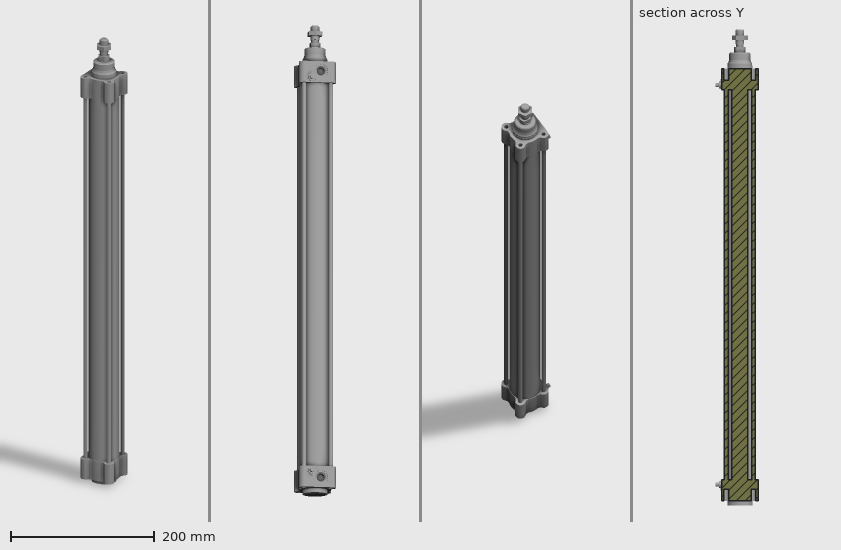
import cadquery as cq
import math


total_height = 663.0
tail_collar_height = 6.0
cap_height = 30.0
tail_cap_top = tail_collar_height + cap_height
head_cap_top = 608.5
head_cap_bottom = head_cap_top - cap_height
mid_height = (tail_cap_top + head_cap_bottom) / 2

cap_half_width = 26.0
screw_spacing = 38.0
post_radius = cap_half_width - screw_spacing / 2

post_flat_end = 16.5
floor_x = 11.0
floor_y = 22.0
bulge_radius = 22.5
bulge_x = 7.0
bulge_y = math.sqrt(bulge_radius**2 - bulge_x**2)

screw_hole_diameter = 6.0
screw_hole_depth = 16.0

barrel_diameter = 44.0
tie_rod_diameter = 6.0

collar_diameter = 35.0
collar_base_height = 4.0
upper_collar_diameter = 34.5
bevel_bottom_z = 615.0
ledge_z = 617.0
ledge_diameter = 32.0
cone_top_z = 620.5
neck_diameter = 30.0
neck_top_z = 630.5
neck_chamfer = 1.0

port_y = -4.0
port_from_cap_end = 14.0
port_seat_diameter = 19.0
port_seat_depth = 1.0
port_mouth_diameter = 15.0
port_diameter = 11.0
port_depth = 10.0

cushion_y = 10.0
cushion_from_cap_end = 23.0
pad_width = 11.0
pad_length = 16.0
pad_thickness = 1.0
cushion_head_diameter = 10.0
cushion_head_thickness = 3.0
cushion_tip_diameter = 6.0
cushion_reach = 8.0

rod_diameter = 16.0
rod_shoulder_z = 638.5
flats_width = 13.0
flats_bottom_z = 632.0
undercut_diameter = 10.5
thread_bottom_z = 642.5
thread_diameter = 12.0
thread_chamfer = 1.0

nut_across_flats = 19.0
nut_height = 6.0
nut_bottom_z = 648.5


def cylinder(diameter, bottom, top):
    return cq.Workplane("XY").workplane(offset=bottom).circle(diameter / 2).extrude(top - bottom)


def at_screws(plane_z):
    """Workplane at height plane_z with the four corner screw centres selected."""
    plane = cq.Workplane("XY").workplane(offset=plane_z)
    return plane.rect(screw_spacing, screw_spacing, forConstruction=True).vertices()


def side_cutter():
    """Space beyond the recessed +Y side of a cap, between its two corner posts."""
    return (
        cq.Workplane("XY")
        .workplane(offset=head_cap_bottom)
        .moveTo(-post_flat_end, cap_half_width)
        .lineTo(-floor_x, floor_y)
        .lineTo(-bulge_x, bulge_y)
        .threePointArc((0, bulge_radius), (bulge_x, bulge_y))
        .lineTo(floor_x, floor_y)
        .lineTo(post_flat_end, cap_half_width)
        .close()
        .extrude(cap_height)
    )


def disc_on_face(y, z, diameter, start, end):
    """Round feature along X on the -X face: start and end are distances outward from that face."""
    return (
        cq.Workplane("YZ", origin=(-cap_half_width - start, y, z))
        .circle(diameter / 2)
        .extrude(start - end)
    )


def cushion_screw(port_z):
    cushion_z = head_cap_top - cushion_from_cap_end
    tilt = math.degrees(math.atan2(port_z - cushion_z, port_y - cushion_y))
    pad_shift = (pad_length - pad_width) / 2
    pad_y = cushion_y + pad_shift * math.cos(math.radians(tilt))
    pad_z = cushion_z + pad_shift * math.sin(math.radians(tilt))
    pad = (
        cq.Workplane("YZ", origin=(-cap_half_width, pad_y, pad_z))
        .slot2D(pad_length, pad_width, tilt)
        .extrude(-pad_thickness)
    )
    head = disc_on_face(cushion_y, cushion_z, cushion_head_diameter, 0, cushion_head_thickness)
    tip = disc_on_face(cushion_y, cushion_z, cushion_tip_diameter, 0, cushion_reach)
    return pad.union(head).union(tip)


def head_cap():
    cap = (
        cq.Workplane("XY")
        .workplane(offset=head_cap_bottom)
        .rect(2 * cap_half_width, 2 * cap_half_width)
        .extrude(cap_height)
        .edges("|Z")
        .fillet(post_radius)
    )
    for angle in (0, -90, 180):
        cap = cap.cut(side_cutter().rotate((0, 0, 0), (0, 0, 1), angle))
    cap = cap.cut(at_screws(head_cap_top).circle(screw_hole_diameter / 2).extrude(-screw_hole_depth))

    port_z = head_cap_top - port_from_cap_end
    cap = cap.union(cushion_screw(port_z))
    cap = cap.cut(disc_on_face(port_y, port_z, port_seat_diameter, pad_thickness, -port_seat_depth))
    cap = cap.cut(disc_on_face(port_y, port_z, port_diameter, 0, -port_depth))

    mouth = cq.Solid.makeCone(
        port_mouth_diameter / 2,
        port_diameter / 2,
        (port_mouth_diameter - port_diameter) / 2,
        cq.Vector(-cap_half_width + port_seat_depth, port_y, port_z),
        cq.Vector(1, 0, 0),
    )
    return cap.cut(cq.Workplane(obj=mouth))


def tie_rods():
    length = head_cap_bottom - tail_cap_top
    return at_screws(tail_cap_top).circle(tie_rod_diameter / 2).extrude(length)


def head_collar():
    return (
        cq.Workplane("XZ")
        .moveTo(0, head_cap_top)
        .lineTo(collar_diameter / 2, head_cap_top)
        .lineTo(collar_diameter / 2, head_cap_top + collar_base_height)
        .lineTo(upper_collar_diameter / 2, head_cap_top + collar_base_height)
        .lineTo(upper_collar_diameter / 2, bevel_bottom_z)
        .lineTo(ledge_diameter / 2, ledge_z)
        .lineTo(neck_diameter / 2, cone_top_z)
        .lineTo(neck_diameter / 2, neck_top_z - neck_chamfer)
        .lineTo(neck_diameter / 2 - neck_chamfer, neck_top_z)
        .lineTo(0, neck_top_z)
        .close()
        .revolve(360, (0, 0, 0), (0, 1, 0))
    )


def make_housing():
    cap = head_cap()
    tail_cap = cap.mirror("XY", (0, 0, mid_height))
    barrel = cylinder(barrel_diameter, tail_cap_top, head_cap_bottom)
    body = barrel.union(cap).union(tail_cap).union(tie_rods())
    body = body.union(cylinder(collar_diameter, 0, tail_collar_height)).union(head_collar())
    return body.cut(cylinder(rod_diameter, head_cap_bottom, neck_top_z))


def make_rod():
    shank = cylinder(rod_diameter, head_cap_bottom, rod_shoulder_z)
    flats_height = rod_shoulder_z - flats_bottom_z
    for side in (1, -1):
        beyond_flat = (
            cq.Workplane("XY")
            .workplane(offset=flats_bottom_z)
            .center(0, side * (flats_width + rod_diameter) / 2)
            .rect(rod_diameter, rod_diameter)
            .extrude(flats_height)
        )
        shank = shank.cut(beyond_flat)
    undercut = cylinder(undercut_diameter, rod_shoulder_z, thread_bottom_z)
    thread = cylinder(thread_diameter, thread_bottom_z, total_height).faces(">Z").chamfer(thread_chamfer)
    return shank.union(undercut).union(thread)


def make_nut():
    across_corners = nut_across_flats / math.cos(math.pi / 6)
    return (
        cq.Workplane("XY")
        .workplane(offset=nut_bottom_z)
        .polygon(6, across_corners)
        .circle(thread_diameter / 2)
        .extrude(nut_height)
    )


housing = make_housing()
rod = make_rod()
nut = make_nut()

result = cq.Compound.makeCompound([housing.val(), rod.val(), nut.val()])